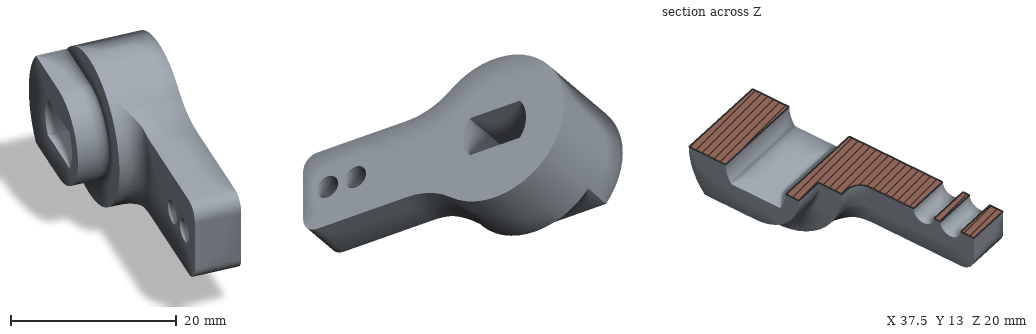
import cadquery as cq
import math

total_length = 37.5
hub_diameter = 20.0
hub_thickness = 9.0
boss_height = 4.0
boss_radius = 6.5
arm_width = 11.0
arm_thickness = 6.0
arm_corner_radius = 2.0
flare_radius = 10.0
face_fillet_radius = 2.0
bore_diameter = 9.0
bore_flat_width = 5.32
hole_diameter = 3.0
hole_positions = (20.0, 24.0)

hub_radius = hub_diameter / 2
arm_end = total_length - hub_radius
arm_half_width = arm_width / 2
total_thickness = hub_thickness + boss_height


def cylinder(radius, depth, x=0.0):
    """Cylinder reaching from the back face toward -Y."""
    return cq.Workplane("XZ").center(x, 0).circle(radius).extrude(depth)


def arm_blank(depth):
    """Arm plate whose sides flare tangentially into the hub."""
    flare_z = arm_half_width + flare_radius
    flare_x = math.sqrt((hub_radius + flare_radius) ** 2 - flare_z**2)

    contact_angle = math.atan2(flare_z, flare_x)
    contact_x = hub_radius * math.cos(contact_angle)
    contact_z = hub_radius * math.sin(contact_angle)
    middle_angle = (contact_angle + math.pi / 2) / 2
    middle_x = flare_x - flare_radius * math.cos(middle_angle)
    middle_z = flare_z - flare_radius * math.sin(middle_angle)

    return (
        cq.Workplane("XZ")
        .moveTo(0, 0)
        .lineTo(contact_x, -contact_z)
        .threePointArc((middle_x, -middle_z), (flare_x, -arm_half_width))
        .lineTo(arm_end, -arm_half_width)
        .lineTo(arm_end, arm_half_width)
        .lineTo(flare_x, arm_half_width)
        .threePointArc((middle_x, middle_z), (contact_x, contact_z))
        .close()
        .extrude(depth)
        .edges("|Y and >X")
        .fillet(arm_corner_radius)
    )


def face_fillet():
    """Concave fillet between the hub wall and the arm face, within the arm outline."""
    inner_radius = hub_radius - face_fillet_radius
    outer_radius = hub_radius + face_fillet_radius
    fillet_top = -arm_thickness - face_fillet_radius
    arc_offset = face_fillet_radius * (1 - math.sqrt(0.5))
    ring = (
        cq.Workplane("XY")
        .moveTo(inner_radius, -arm_thickness)
        .lineTo(outer_radius, -arm_thickness)
        .threePointArc(
            (hub_radius + arc_offset, -arm_thickness - arc_offset),
            (hub_radius, fillet_top),
        )
        .lineTo(inner_radius, fillet_top)
        .close()
        .revolve(360, (0, 0, 0), (0, 1, 0))
    )
    return ring.intersect(arm_blank(hub_thickness))


def boss():
    """Half-round boss that runs out to the hub rim on the -X side."""
    tongue = (
        cq.Workplane("XZ")
        .center(-hub_radius / 2, 0)
        .rect(hub_radius, 2 * boss_radius)
        .extrude(total_thickness)
    )
    tongue = tongue.intersect(cylinder(hub_radius, total_thickness))
    return tongue.union(cylinder(boss_radius, total_thickness))


def bore():
    """Double-flat through bore."""
    flats = cq.Workplane("XZ").rect(bore_diameter, bore_flat_width).extrude(total_thickness)
    return cylinder(bore_diameter / 2, total_thickness).intersect(flats)


result = (
    cylinder(hub_radius, hub_thickness)
    .union(arm_blank(arm_thickness))
    .union(face_fillet())
    .union(boss())
    .cut(bore())
)
for hole_x in hole_positions:
    result = result.cut(cylinder(hole_diameter / 2, arm_thickness, hole_x))